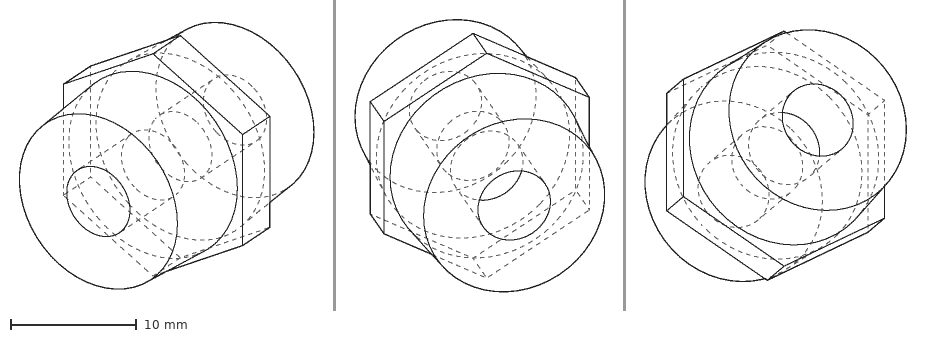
import cadquery as cq
import math

length = 20.0
hex_across_flats = 17.0
hex_thickness = 4.0
cone_base_diameter = 16.0
cone_end_diameter = 15.0
bore_diameter = 6.0

hex_across_corners = hex_across_flats / math.cos(math.pi / 6)
half_length = length / 2
half_hex = hex_thickness / 2
bore_depth = half_length - half_hex


def hex_collar():
    """Central hexagon with corners on +Z and -Z and flats facing +X and -X."""
    return (
        cq.Workplane("XZ")
        .transformed(rotate=(0, 0, 90))
        .polygon(6, hex_across_corners)
        .extrude(half_hex, both=True)
    )


def tapered_body():
    """Solid of revolution tapering from the collar to both ends."""
    base_radius = cone_base_diameter / 2
    end_radius = cone_end_diameter / 2
    profile = [
        (0, -half_length),
        (end_radius, -half_length),
        (base_radius, -half_hex),
        (base_radius, half_hex),
        (end_radius, half_length),
        (0, half_length),
    ]
    return cq.Workplane("XY").polyline(profile).close().revolve(360, (0, 0), (0, 1))


def end_bore():
    """Blind round hole entering from the -Y end face."""
    return (
        cq.Workplane("XZ", origin=(0, -half_length, 0))
        .circle(bore_diameter / 2)
        .extrude(-bore_depth)
    )


front_bore = end_bore()
back_bore = front_bore.mirror("XZ")

result = hex_collar().union(tapered_body()).cut(front_bore).cut(back_bore)